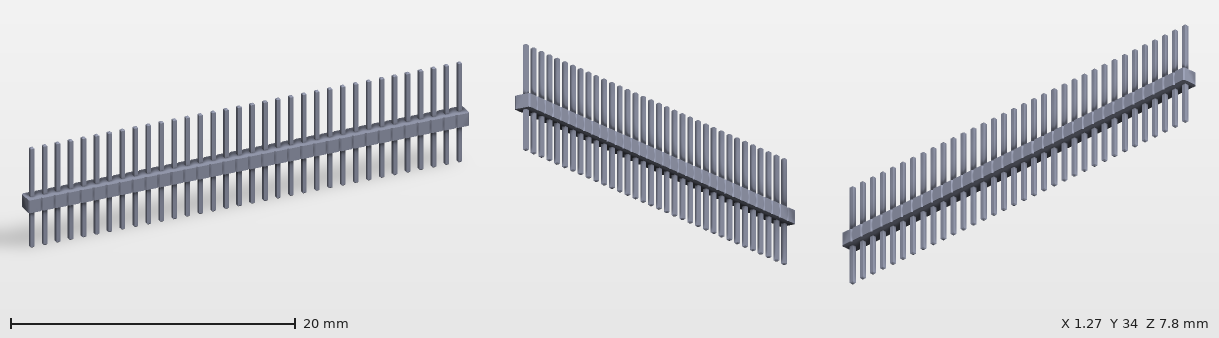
import cadquery as cq

pin_count = 34
pitch = 1.0
body_width = 1.27
body_height = 1.0
corner_chamfer = 0.1
pin_size = 0.3
tip_chamfer = 0.08
pin_above = 3.8
pin_below = 3.0

row_length = pin_count * pitch
pin_length = pin_below + body_height + pin_above
pin_positions = [(i + 0.5) * pitch - row_length / 2 for i in range(pin_count)]


def make_body():
    """Insulator strip: one chamfered cell per pin, leaving V notches between cells."""
    half_cell = pitch / 2
    half_flat = half_cell - corner_chamfer
    half_width = body_width / 2
    half_neck = half_width - corner_chamfer
    right_side = []
    for y in pin_positions:
        right_side.append((half_neck, y - half_cell))
        right_side.append((half_width, y - half_flat))
        right_side.append((half_width, y + half_flat))
    right_side.append((half_neck, row_length / 2))
    left_side = [(-x, y) for x, y in reversed(right_side)]
    return cq.Workplane("XY").polyline(right_side + left_side).close().extrude(body_height)


def make_pin(y):
    """Square pin through the body, tapered at both tips."""
    blank = cq.Workplane("XY").box(pin_size, pin_size, pin_length, centered=(True, True, False))
    pin = blank.faces("<Z or >Z").chamfer(tip_chamfer)
    return pin.translate((0, y, -pin_below))


result = make_body()
for pin_y in pin_positions:
    result = result.union(make_pin(pin_y))